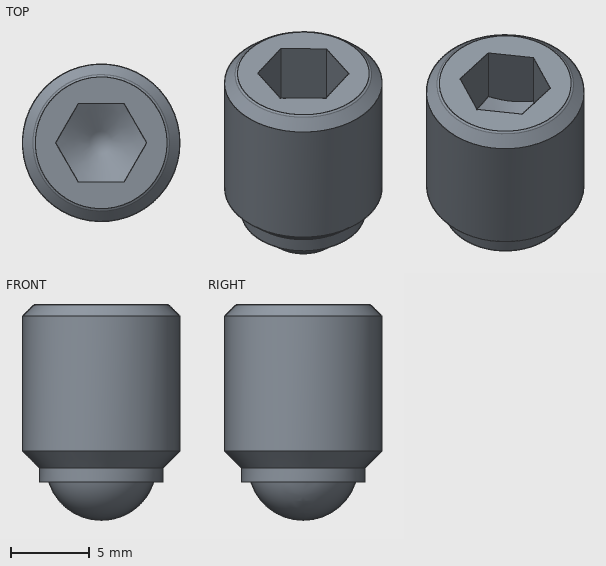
import cadquery as cq
import math

total_height = 13.7
body_diameter = 10.0
body_radius = body_diameter / 2

nose_radius = 3.93
nose_bottom = 2.42
nose_height = 0.9
lower_chamfer = body_radius - nose_radius
upper_chamfer = 0.67
rim_width = 0.15
rim_drop = 0.08

socket_across_flats = 5.0
socket_depth = 4.0
socket_cone_angle = 120.0

ball_diameter = 7.0
ball_radius = ball_diameter / 2


def make_ball():
    """Full sphere that projects below the nose."""
    return cq.Workplane("XY").sphere(ball_radius).translate((0, 0, ball_radius))


def make_socket():
    """Hexagonal prism ending in a cone that spans the hexagon's corners."""
    corner_radius = socket_across_flats / 2 / math.cos(math.radians(30))
    cone_depth = corner_radius / math.tan(math.radians(socket_cone_angle / 2))
    floor_height = total_height - socket_depth
    prism = (
        cq.Workplane("XY")
        .workplane(offset=floor_height - cone_depth)
        .polygon(6, 2 * corner_radius)
        .extrude(socket_depth + cone_depth)
    )
    pointed_cylinder = (
        cq.Workplane("XZ")
        .moveTo(0, floor_height - cone_depth)
        .lineTo(corner_radius, floor_height)
        .lineTo(corner_radius, total_height)
        .lineTo(0, total_height)
        .close()
        .revolve(360, (0, 0, 0), (0, 1, 0))
    )
    return prism.intersect(pointed_cylinder)


def make_body(ball):
    """Turned screw body with the socket and a matching seat for the ball."""
    nose_top = nose_bottom + nose_height
    rim_height = total_height - rim_drop
    rim_radius = body_radius - upper_chamfer
    blank = (
        cq.Workplane("XZ")
        .moveTo(0, nose_bottom)
        .lineTo(nose_radius, nose_bottom)
        .lineTo(nose_radius, nose_top)
        .lineTo(body_radius, nose_top + lower_chamfer)
        .lineTo(body_radius, rim_height - upper_chamfer)
        .lineTo(rim_radius, rim_height)
        .lineTo(rim_radius - rim_width, total_height)
        .lineTo(0, total_height)
        .close()
        .revolve(360, (0, 0, 0), (0, 1, 0))
    )
    return blank.cut(make_socket()).cut(ball)


ball = make_ball()
body = make_body(ball)

result = cq.Compound.makeCompound([body.val(), ball.val()])